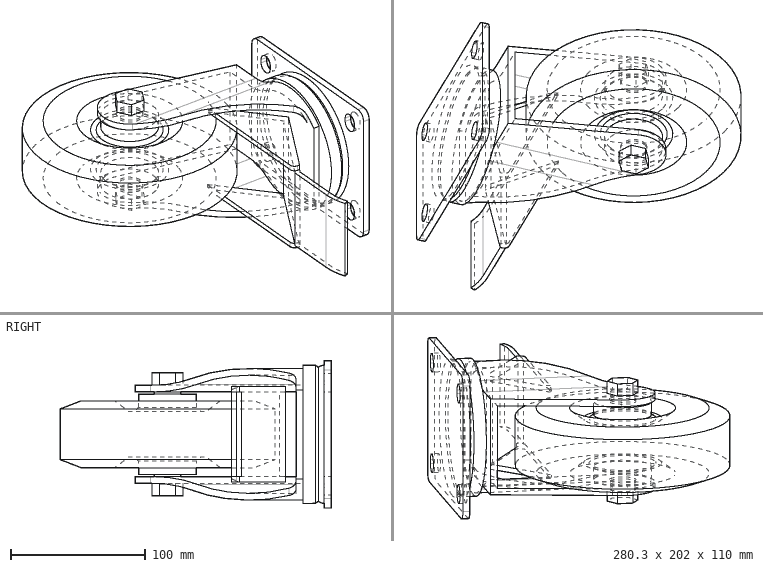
import cadquery as cq
import math


overall_length = 280.3
overall_depth = 202.0

wheel_diameter = 160.0
wheel_width = 50.0
tread_width = 37.8
face_radius = 64.5
recess_rim_radius = 39.5
recess_floor_radius = 29.2
recess_depth = 7.8
hub_cone_radius = 25.0
hub_cone_height = 2.8
hub_diameter = 43.2
hub_width = 60.0

axle_diameter = 20.0
hex_flats = 20.2
hex_height = 9.3

swivel_x = 65.0
plate_thickness = 5.3
plate_length = 140.2
plate_width = 110.0
plate_corner_radius = 7.0
slot_width = 11.2
slot_length = 14.0
slot_spacing_x = 105.5
slot_spacing_z = 76.8

collar_diameter = 103.2
collar_height = 16.0
collar_groove_depth = 1.7
collar_groove_y = 112.5
collar_rim_y = 110.2

sheet_thickness = 5.0
arm_gap = 63.0
arm_tip_radius = 24.0
arm_bend_x = 22.0
bulge_radius = 49.0
fork_left_x = -2.5
fork_right_x = 101.2
fork_corner_x = 86.3
fork_corner_fillet = 11.2

pedal_thickness = 4.0
pedal_bottom_y = 47.7
web_left_x = 80.0
web_left_y = 83.5
pedal_bend_x = 143.0
pedal_curl_x = 182.0
pedal_curl_radius = 47.7
cheek_left_x = 32.8
cheek_right_x = 140.7
cheek_corner_radius = 4.0

wheel_radius = wheel_diameter / 2
pedal_end_x = overall_length - wheel_radius
plate_top_y = overall_depth - wheel_radius
plate_bottom_y = plate_top_y - plate_thickness
fork_top_y = plate_bottom_y - collar_height
arm_outer_z = arm_gap / 2 + sheet_thickness


def extrude_both(sketch, width):
    """Extrude a closed XY outline symmetrically about Z = 0."""
    return sketch.extrude(width / 2, both=True)



def make_wheel():
    half_width = wheel_width / 2
    floor_z = half_width - recess_depth
    hub_radius = hub_diameter / 2
    upper_half = [
        (0, hub_width / 2),
        (hub_radius, hub_width / 2),
        (hub_radius, floor_z + hub_cone_height),
        (hub_cone_radius, floor_z),
        (recess_floor_radius, floor_z),
        (recess_rim_radius, half_width),
        (face_radius, half_width),
        (wheel_radius, tread_width / 2),
    ]
    lower_half = [(radius, -z) for radius, z in reversed(upper_half)]
    return (
        cq.Workplane("XZ")
        .polyline(upper_half + lower_half)
        .close()
        .revolve(360, (0, 0, 0), (0, 1, 0))
    )


def make_axle_bolt():
    shaft = extrude_both(cq.Workplane("XY").circle(axle_diameter / 2), 2 * arm_outer_z)
    hex_corners = hex_flats / math.cos(math.pi / 6)
    head = (
        cq.Workplane("XY")
        .workplane(offset=arm_outer_z)
        .transformed(rotate=(0, 0, 90))
        .polygon(6, hex_corners)
        .extrude(hex_height)
    )
    return shaft.union(head).union(head.mirror("XY"))



def make_plate():
    top_face = cq.Workplane("XZ", origin=(swivel_x, plate_top_y, 0))
    plate = top_face.rect(plate_length, plate_width).extrude(plate_thickness)
    plate = plate.edges("|Y").fillet(plate_corner_radius)
    slots = (
        top_face.rarray(slot_spacing_x, slot_spacing_z, 2, 2)
        .slot2D(slot_length, slot_width, 90)
        .extrude(plate_thickness)
    )
    return plate.cut(slots)


def make_collar():
    radius = collar_diameter / 2
    groove_radius = radius - collar_groove_depth
    shoulder_height = plate_bottom_y - collar_groove_y
    shoulder_radius = (shoulder_height**2 + collar_groove_depth**2) / (2 * collar_groove_depth)
    half_angle = math.asin(shoulder_height / shoulder_radius) / 2
    shoulder = (
        radius - shoulder_radius * (1 - math.cos(half_angle)),
        plate_bottom_y - shoulder_radius * math.sin(half_angle),
    )
    return (
        cq.Workplane("XY", origin=(swivel_x, 0, 0))
        .moveTo(0, plate_bottom_y)
        .lineTo(radius, plate_bottom_y)
        .threePointArc(shoulder, (groove_radius, collar_groove_y))
        .lineTo(radius, collar_rim_y)
        .lineTo(radius, fork_top_y)
        .lineTo(0, fork_top_y)
        .close()
        .revolve(360, (0, 0, 0), (0, 1, 0))
    )



def fork_plan(inset, bottom_y, top_y):
    """Two flat arms that swell into a round bulge about the swivel axis.

    The blend between arm and bulge is tangent to both; an inset moves the whole outline inward.
    """
    arm_z = arm_outer_z
    reach = swivel_x - arm_bend_x
    blend_radius = (reach**2 + arm_z**2 - bulge_radius**2) / (2 * (bulge_radius - arm_z))
    blend_z = arm_z + blend_radius
    blend_angle = math.atan2(blend_z, reach)
    round_radius = bulge_radius - inset
    hollow_radius = blend_radius + inset
    half_angle = (blend_angle + math.pi / 2) / 2
    join = (swivel_x - round_radius * math.cos(blend_angle), round_radius * math.sin(blend_angle))
    hollow_mid = (
        arm_bend_x + hollow_radius * math.cos(half_angle),
        blend_z - hollow_radius * math.sin(half_angle),
    )
    left_x = -arm_tip_radius
    return (
        cq.Workplane("XZ", origin=(0, top_y, 0))
        .moveTo(left_x, arm_z - inset)
        .lineTo(arm_bend_x, arm_z - inset)
        .threePointArc(hollow_mid, join)
        .threePointArc((swivel_x + round_radius, 0), (join[0], -join[1]))
        .threePointArc((hollow_mid[0], -hollow_mid[1]), (arm_bend_x, inset - arm_z))
        .lineTo(left_x, inset - arm_z)
        .close()
        .extrude(top_y - bottom_y)
    )


def tip_tangent(point, side):
    """Where the line from a point touches the arm tip circle (side is +1 or -1)."""
    angle = math.atan2(point[1], point[0])
    angle += side * math.acos(arm_tip_radius / math.hypot(*point))
    return (arm_tip_radius * math.cos(angle), arm_tip_radius * math.sin(angle))


def make_fork():
    underside_y = fork_top_y - sheet_thickness
    top_left = (fork_left_x, fork_top_y)
    corner = (fork_corner_x, underside_y)
    side_profile = (
        cq.Workplane("XY")
        .moveTo(*top_left)
        .lineTo(*tip_tangent(top_left, 1))
        .threePointArc((0, -arm_tip_radius), tip_tangent(corner, -1))
        .lineTo(*corner)
        .lineTo(fork_right_x, underside_y)
        .lineTo(fork_right_x, fork_top_y)
        .close()
    )
    side = extrude_both(side_profile, 2 * collar_diameter)
    side = side.edges(cq.NearestToPointSelector((*corner, 0))).fillet(fork_corner_fillet)
    shell = fork_plan(0, -arm_tip_radius, fork_top_y)
    shell = shell.cut(fork_plan(sheet_thickness, -arm_tip_radius, underside_y))
    return shell.intersect(side)



def make_pedal():
    web_slope = math.atan2(web_left_y - pedal_bottom_y, pedal_bend_x - web_left_x)
    web_top_y = web_left_y + pedal_thickness / math.cos(web_slope)
    inner_bend_x = pedal_bend_x + pedal_thickness * math.tan(web_slope / 2)

    curl_angle = math.asin((pedal_end_x - pedal_curl_x) / pedal_curl_radius)
    curl_center_y = pedal_bottom_y + pedal_curl_radius

    def curl_point(radius, angle):
        return (pedal_curl_x + radius * math.sin(angle), curl_center_y - radius * math.cos(angle))

    inner_radius = pedal_curl_radius - pedal_thickness
    web = (
        cq.Workplane("XY")
        .moveTo(web_left_x, web_left_y)
        .lineTo(pedal_bend_x, pedal_bottom_y)
        .lineTo(pedal_curl_x, pedal_bottom_y)
        .threePointArc(
            curl_point(pedal_curl_radius, curl_angle / 2),
            curl_point(pedal_curl_radius, curl_angle),
        )
        .lineTo(*curl_point(inner_radius, curl_angle))
        .threePointArc(curl_point(inner_radius, curl_angle / 2), curl_point(inner_radius, 0))
        .lineTo(inner_bend_x, pedal_bottom_y + pedal_thickness)
        .lineTo(web_left_x, web_top_y)
        .close()
    )
    pedal = extrude_both(web, arm_gap)

    cheek_end_y = web_top_y - (cheek_right_x - web_left_x) * math.tan(web_slope)
    cheek = (
        cq.Workplane("XY")
        .workplane(offset=arm_gap / 2)
        .moveTo(cheek_left_x, pedal_bottom_y)
        .lineTo(cheek_right_x - cheek_corner_radius, pedal_bottom_y)
        .tangentArcPoint((cheek_corner_radius, cheek_corner_radius))
        .lineTo(cheek_right_x, cheek_end_y)
        .lineTo(web_left_x, web_top_y)
        .close()
        .extrude(pedal_thickness)
    )
    return pedal.union(cheek).union(cheek.mirror("XY"))


result = make_plate()
for component in (make_collar(), make_fork(), make_pedal(), make_axle_bolt(), make_wheel()):
    result = result.union(component)